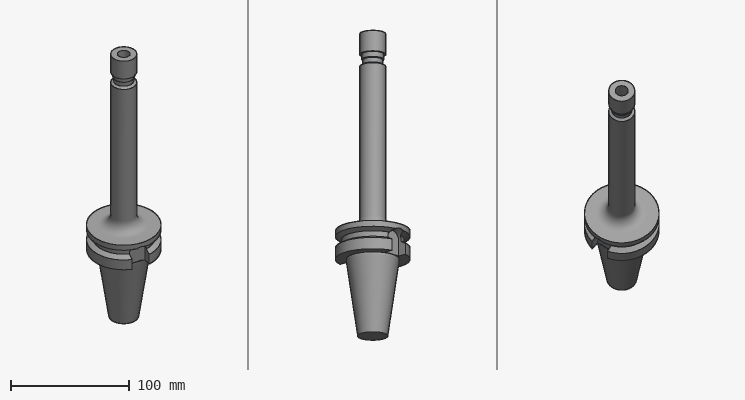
import cadquery as cq
import math

total_height = 265.5

taper_small_radius = 12.7
taper_large_radius = 22.3
taper_length = 65.3

flange_diameter = 63.0
flange_radius = flange_diameter / 2
flange_bottom = 67.5
flange_top = 92.4
groove_floor_radius = 26.5
groove_center = 82.3
groove_floor_width = 4.8
groove_mouth_width = 9.8

slot_width = 16.2
slot_floor_distance = 22.5
slot_top = 88.5

arbor_diameter = 22.0
arbor_radius = arbor_diameter / 2
foot_fillet_radius = 10.0

head_height = 18.0
upper_neck_radius = 9.3
upper_neck_length = 4.5
lower_neck_radius = 8.5
lower_neck_length = 4.0
neck_step_height = 0.5
shoulder_height = 1.5

bore_radius = 5.3
bore_depth = head_height


def turned_body():
    """Revolve the half profile of taper, flange, arbor and head about Z."""
    head_bottom = total_height - head_height
    upper_neck_bottom = head_bottom - upper_neck_length
    lower_neck_top = upper_neck_bottom - neck_step_height
    lower_neck_bottom = lower_neck_top - lower_neck_length
    arbor_top = lower_neck_bottom - shoulder_height

    fillet_center_radius = arbor_radius + foot_fillet_radius
    fillet_top = flange_top + foot_fillet_radius
    arc_offset = foot_fillet_radius * math.sqrt(0.5)
    fillet_middle = (fillet_center_radius - arc_offset, fillet_top - arc_offset)

    half_floor = groove_floor_width / 2
    half_mouth = groove_mouth_width / 2

    profile = (
        cq.Workplane("XZ")
        .lineTo(taper_small_radius, 0)
        .lineTo(taper_large_radius, taper_length)
        .lineTo(taper_large_radius, flange_bottom)
        .lineTo(flange_radius, flange_bottom)
        .lineTo(flange_radius, groove_center - half_mouth)
        .lineTo(groove_floor_radius, groove_center - half_floor)
        .lineTo(groove_floor_radius, groove_center + half_floor)
        .lineTo(flange_radius, groove_center + half_mouth)
        .lineTo(flange_radius, flange_top)
        .lineTo(fillet_center_radius, flange_top)
        .threePointArc(fillet_middle, (arbor_radius, fillet_top))
        .lineTo(arbor_radius, arbor_top)
        .lineTo(lower_neck_radius, lower_neck_bottom)
        .lineTo(lower_neck_radius, lower_neck_top)
        .lineTo(upper_neck_radius, upper_neck_bottom)
        .lineTo(upper_neck_radius, head_bottom)
        .lineTo(arbor_radius, head_bottom)
        .lineTo(arbor_radius, total_height)
        .lineTo(0, total_height)
        .close()
    )
    return profile.revolve(360, (0, 0, 0), (0, 1, 0))


def drive_slot(side):
    """Round-topped slot cutter; side is -1 for the -X slot and +1 for the +X slot."""
    half_width = slot_width / 2
    arc_start = slot_top - half_width
    return (
        cq.Workplane("YZ", origin=(side * slot_floor_distance, 0, 0))
        .moveTo(-half_width, flange_bottom)
        .lineTo(-half_width, arc_start)
        .threePointArc((0, slot_top), (half_width, arc_start))
        .lineTo(half_width, flange_bottom)
        .close()
        .extrude(side * flange_radius)
    )


def head_bore():
    """Cylinder that opens the bore from the top of the head."""
    top = cq.Workplane("XY", origin=(0, 0, total_height))
    return top.circle(bore_radius).extrude(-bore_depth)


result = turned_body().cut(head_bore())
for slot_side in (-1, 1):
    result = result.cut(drive_slot(slot_side))